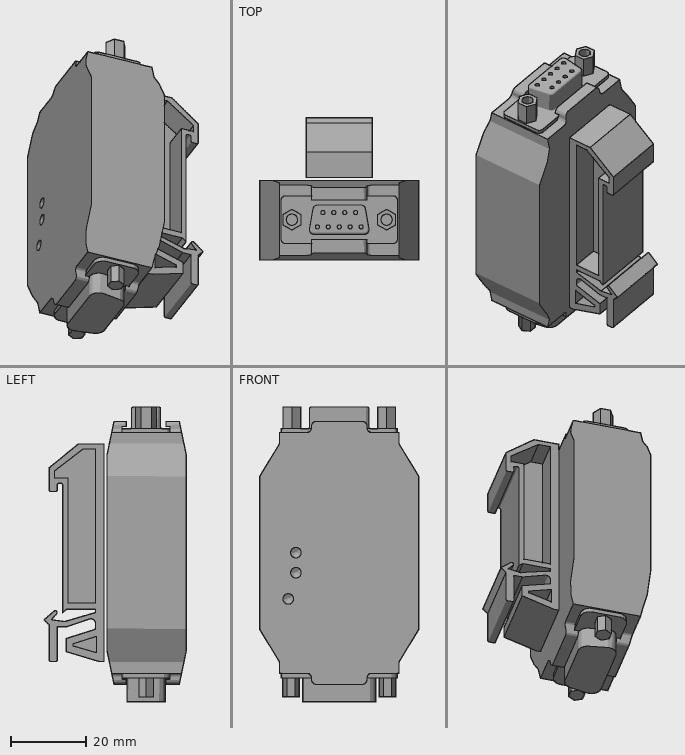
import cadquery as cq
import math


HALF_WIDTH = 21.21
HALF_DEPTH = 10.6
NECK_HALF_WIDTH = 15.9
SHOULDER_Z = 20.3
NECK_Z = 29.05
SEAT_Z = 32.05
TAB_Z = 35.0
TAPER_START_Z = 25.9
TAPER_ANGLE = 11.8
SIDE_BEND_RADIUS = 1.2
TAB_HALF_WIDTH = 7.4
TAB_ROOT_RADIUS = 1.2
TAB_CORNER_RADIUS = 1.4
TAB_UNDERCUT_Z = 33.6
TAB_OPENING = 10.54

INDICATOR_PLACES = [(-11.53, 0.05), (-11.53, -5.28), (-13.56, -12.25)]
INDICATOR_RADIUS = 1.4
INDICATOR_DEPTH = 5.0
DRILL_TIP_ANGLE = 118.0

PICK_MARGIN = 0.1

CONNECTOR_Y = 0.15
FLANGE_LENGTH = 30.95
FLANGE_WIDTH = 12.7
SHELL_SIDE_ANGLE = 10.0
SOCKET_END_Z = 38.8
SOCKET_FLANGE_Z = 33.07
SOCKET_FLANGE_RADIUS = 1.2
SOCKET_HALF_WIDTH = 8.18
SOCKET_DEPTH = 7.8
SOCKET_CORNER_RADIUS = 1.25
SOCKET_RIM_RADIUS = 0.5
SOCKET_ROOT_RADIUS = 0.25
PIN_HOLE_DIAMETER = 1.1
PIN_HOLE_DEPTH = 3.0
PIN_PITCH = 2.91
PIN_ROW_SPACING = 3.8
STANDOFF_X = 12.6
STANDOFF_FLATS = 4.77
STANDOFF_BORE = 3.0

PLUG_END_Z = 39.6
PLUG_FLANGE_Z = 33.3
PLUG_FLANGE_RADIUS = 2.6
PLUG_HALF_WIDTH = 10.25
PLUG_DEPTH = 10.2
PLUG_CORNER_RADIUS = 2.6
SCREW_X = 12.85
SCREW_END_Z = 38.3
SCREW_FLATS = 3.85

CLIP_HALF_WIDTH = 8.84
CLIP_WEB_HALF = 1.4
CLIP_BACK_Y = 11.31
CLIP_SPINE_Y = 13.63
CLIP_RAIL_Y = 22.37
CLIP_HOOK_INNER_Y = 23.75
CLIP_HOOK_OUTER_Y = 25.93
CLIP_LATCH_TIP_Y = 27.3
CLIP_TOP_Z = 29.0
CLIP_BOTTOM_Z = -28.95
CLIP_TIP_RADIUS = 0.5
CLIP_SMALL_RADIUS = 0.4
CLIP_ARM_ROOT_RADIUS = 1.2


def hexagon_across_corners(flats):
    return flats / math.cos(math.radians(30))


def box_around(place, half_size):
    """Selector for edges whose middle lies in a box around a place."""
    low = tuple(p - h for p, h in zip(place, half_size))
    high = tuple(p + h for p, h in zip(place, half_size))
    return cq.selectors.BoxSelector(low, high)


def round_edges_at(solid, places, radius):
    """Round the edges whose middles lie at the given places, one after another."""
    for place in places:
        solid = solid.edges(box_around(place, (PICK_MARGIN, PICK_MARGIN, PICK_MARGIN))).fillet(radius)
    return solid


def housing_outline():
    """Front outline of the housing, extruded through its depth."""
    root_x = TAB_HALF_WIDTH + TAB_ROOT_RADIUS
    corner_x = TAB_HALF_WIDTH - TAB_CORNER_RADIUS
    root_mid = TAB_ROOT_RADIUS * (1 - math.sqrt(0.5))
    corner_mid = TAB_CORNER_RADIUS * (1 - math.sqrt(0.5))
    upper_right = (
        cq.Workplane("XZ")
        .moveTo(0, 0)
        .lineTo(HALF_WIDTH, 0)
        .lineTo(HALF_WIDTH, SHOULDER_Z)
        .lineTo(NECK_HALF_WIDTH, NECK_Z)
        .lineTo(NECK_HALF_WIDTH, SEAT_Z)
        .lineTo(root_x, SEAT_Z)
        .threePointArc(
            (TAB_HALF_WIDTH + root_mid, SEAT_Z + root_mid),
            (TAB_HALF_WIDTH, SEAT_Z + TAB_ROOT_RADIUS),
        )
        .lineTo(TAB_HALF_WIDTH, TAB_Z - TAB_CORNER_RADIUS)
        .threePointArc(
            (TAB_HALF_WIDTH - corner_mid, TAB_Z - corner_mid),
            (corner_x, TAB_Z),
        )
        .lineTo(0, TAB_Z)
        .close()
        .extrude(HALF_DEPTH, both=True)
    )
    upper = upper_right.union(upper_right.mirror("YZ"))
    return upper.union(upper.mirror("XY")).clean()


def housing_taper():
    """Side outline that leans the front and back faces in at both ends."""
    end_half_depth = HALF_DEPTH - (TAB_Z - TAPER_START_Z) * math.tan(math.radians(TAPER_ANGLE))
    corners = [
        (HALF_DEPTH, -TAPER_START_Z),
        (HALF_DEPTH, TAPER_START_Z),
        (end_half_depth, TAB_Z),
        (-end_half_depth, TAB_Z),
        (-HALF_DEPTH, TAPER_START_Z),
        (-HALF_DEPTH, -TAPER_START_Z),
        (-end_half_depth, -TAB_Z),
        (end_half_depth, -TAB_Z),
    ]
    return cq.Workplane("YZ").polyline(corners).close().extrude(HALF_WIDTH, both=True)


def flange_slot():
    """T-shaped passage between the top tabs: a flange seat with a narrower opening above."""
    length = 2 * (TAB_HALF_WIDTH + TAB_ROOT_RADIUS)
    seat = (
        cq.Workplane("XY", origin=(0, CONNECTOR_Y, SEAT_Z))
        .rect(length, FLANGE_WIDTH)
        .extrude(TAB_UNDERCUT_Z - SEAT_Z)
    )
    opening = (
        cq.Workplane("XY", origin=(0, CONNECTOR_Y, SEAT_Z))
        .rect(length, TAB_OPENING)
        .extrude(TAB_Z - SEAT_Z)
    )
    return seat.union(opening)


def indicator_hole(x, z):
    """Drilled blind hole with a conical bottom, entering from the front face."""
    tip = INDICATOR_RADIUS / math.tan(math.radians(DRILL_TIP_ANGLE / 2))
    profile = [
        (0, 0),
        (INDICATOR_RADIUS, 0),
        (INDICATOR_RADIUS, INDICATOR_DEPTH),
        (0, INDICATOR_DEPTH + tip),
    ]
    return (
        cq.Workplane("XY")
        .polyline(profile)
        .close()
        .revolve(360, (0, 0), (0, 1))
        .translate((x, -HALF_DEPTH, z))
    )


def make_housing():
    body = housing_outline()
    bends = []
    for x, z in ((HALF_WIDTH, SHOULDER_Z), (NECK_HALF_WIDTH, NECK_Z)):
        bends += [(x, 0, z), (-x, 0, z), (x, 0, -z), (-x, 0, -z)]
    body = round_edges_at(body, bends, SIDE_BEND_RADIUS)
    body = body.intersect(housing_taper())
    slot = flange_slot()
    body = body.cut(slot).cut(slot.mirror("XY"))
    for x, z in INDICATOR_PLACES:
        body = body.cut(indicator_hole(x, z))
    return body


def make_flange(top_z, corner_radius):
    return (
        cq.Workplane("XY", origin=(0, CONNECTOR_Y, SEAT_Z))
        .rect(FLANGE_LENGTH, FLANGE_WIDTH)
        .extrude(top_z - SEAT_Z)
        .edges("|Z")
        .fillet(corner_radius)
    )


def d_shell(half_width, depth, corner_radius, base_z, end_z):
    """D-shaped shell, wide edge towards the front, with rounded upright corners."""
    narrow_half_width = half_width - depth * math.tan(math.radians(SHELL_SIDE_ANGLE))
    corners = [
        (-half_width, -depth / 2),
        (half_width, -depth / 2),
        (narrow_half_width, depth / 2),
        (-narrow_half_width, depth / 2),
    ]
    return (
        cq.Workplane("XY", origin=(0, CONNECTOR_Y, base_z))
        .polyline(corners)
        .close()
        .extrude(end_z - base_z)
        .edges("|Z")
        .fillet(corner_radius)
    )


def make_socket():
    """Connector on the +Z end: flange, D shell with nine pin holes and two bored standoffs."""
    shell = d_shell(SOCKET_HALF_WIDTH, SOCKET_DEPTH, SOCKET_CORNER_RADIUS, SOCKET_FLANGE_Z, SOCKET_END_Z)
    shell = shell.faces(">Z").edges().fillet(SOCKET_RIM_RADIUS)
    socket = make_flange(SOCKET_FLANGE_Z, SOCKET_FLANGE_RADIUS).union(shell)
    root_zone = (SOCKET_HALF_WIDTH + PICK_MARGIN, SOCKET_DEPTH / 2 + PICK_MARGIN, PICK_MARGIN)
    shell_root = box_around((0, CONNECTOR_Y, SOCKET_FLANGE_Z), root_zone)
    socket = socket.edges(shell_root).fillet(SOCKET_ROOT_RADIUS)

    pin_places = []
    for count, row_y in ((5, -PIN_ROW_SPACING / 2), (4, PIN_ROW_SPACING / 2)):
        for i in range(count):
            pin_places.append(((i - (count - 1) / 2) * PIN_PITCH, row_y))
    pin_holes = (
        cq.Workplane("XY", origin=(0, CONNECTOR_Y, SOCKET_END_Z))
        .pushPoints(pin_places)
        .circle(PIN_HOLE_DIAMETER / 2)
        .extrude(-PIN_HOLE_DEPTH)
    )

    standoff_height = SOCKET_END_Z - SOCKET_FLANGE_Z
    for side in (-1, 1):
        standoff = (
            cq.Workplane("XY")
            .polygon(6, hexagon_across_corners(STANDOFF_FLATS))
            .extrude(standoff_height)
            .rotate((0, 0, 0), (0, 0, 1), 30)
            .faces(">Z")
            .workplane()
            .hole(STANDOFF_BORE, standoff_height)
            .translate((side * STANDOFF_X, CONNECTOR_Y, SOCKET_FLANGE_Z))
        )
        socket = socket.union(standoff)
    return socket.cut(pin_holes)


def make_plug():
    """Connector on the -Z end: flange, larger D shell and two hexagonal screw heads."""
    plug = make_flange(PLUG_FLANGE_Z, PLUG_FLANGE_RADIUS)
    plug = plug.union(d_shell(PLUG_HALF_WIDTH, PLUG_DEPTH, PLUG_CORNER_RADIUS, PLUG_FLANGE_Z, PLUG_END_Z))
    screws = (
        cq.Workplane("XY", origin=(0, CONNECTOR_Y, PLUG_FLANGE_Z))
        .pushPoints([(-SCREW_X, 0), (SCREW_X, 0)])
        .polygon(6, hexagon_across_corners(SCREW_FLATS))
        .extrude(SCREW_END_Z - PLUG_FLANGE_Z)
    )
    return plug.union(screws).mirror("XY")


def make_rail_clip():
    hook_end_z = 16.26
    block_end_z = -15.0
    arm_under_z = -19.7
    rib_face_y = 21.43
    pocket_top_z = 27.6
    pocket_step_z = 19.88
    pocket_end_z = -13.35
    pocket_hook_y = 24.5
    pocket_rail_y = 20.96
    rib_pocket_base_y = 13.35
    rib_pocket_tip_y = 19.6
    groove_z = 18.47
    arm_root = (CLIP_SPINE_Y, -17.1)
    rib_root = (CLIP_SPINE_Y, -20.3)
    latch_tip_outer = (24.28, -15.15)
    latch_tip_inner = (23.65, -15.9)
    outline = [
        (CLIP_BACK_Y, CLIP_TOP_Z),
        (18.16, CLIP_TOP_Z),
        (CLIP_HOOK_OUTER_Y, 22.65),
        (CLIP_HOOK_OUTER_Y, hook_end_z),
        (CLIP_HOOK_INNER_Y, hook_end_z),
        (CLIP_HOOK_INNER_Y, groove_z),
        (CLIP_RAIL_Y, groove_z),
        (CLIP_RAIL_Y, -15.95),
        (21.25, block_end_z),
        (CLIP_SPINE_Y, block_end_z),
        (CLIP_SPINE_Y, -15.85),
        (21.8, -18.25),
        (25.3, -17.76),
        latch_tip_inner,
        latch_tip_outer,
        (CLIP_LATCH_TIP_Y, -17.8),
        (CLIP_HOOK_OUTER_Y, -19.2),
        (CLIP_HOOK_OUTER_Y, CLIP_BOTTOM_Z),
        (CLIP_HOOK_INNER_Y, CLIP_BOTTOM_Z),
        (CLIP_HOOK_INNER_Y, arm_under_z),
        (21.34, arm_under_z),
        arm_root,
        rib_root,
        (rib_face_y, -22.76),
        (rib_face_y, -26.3),
        (12.6, CLIP_BOTTOM_Z),
        (CLIP_BACK_Y, CLIP_BOTTOM_Z),
    ]
    clip = cq.Workplane("YZ").polyline(outline).close().extrude(CLIP_HALF_WIDTH, both=True)
    tips = []
    for y in (CLIP_HOOK_OUTER_Y, CLIP_HOOK_INNER_Y):
        tips += [(0, y, hook_end_z), (0, y, CLIP_BOTTOM_Z)]
    clip = round_edges_at(clip, tips, CLIP_TIP_RADIUS)
    groove_corners = [(0, CLIP_HOOK_INNER_Y, groove_z), (0, CLIP_RAIL_Y, groove_z)]
    other_corners = [(0, *latch_tip_inner), (0, *latch_tip_outer), (0, *rib_root)]
    clip = round_edges_at(clip, groove_corners + other_corners, CLIP_SMALL_RADIUS)
    clip = round_edges_at(clip, [(0, *arm_root)], CLIP_ARM_ROOT_RADIUS)

    long_pocket = [
        (CLIP_SPINE_Y, pocket_top_z),
        (16.93, pocket_top_z),
        (pocket_hook_y, 21.8),
        (pocket_hook_y, pocket_step_z),
        (pocket_rail_y, pocket_step_z),
        (pocket_rail_y, pocket_end_z),
        (CLIP_SPINE_Y, pocket_end_z),
    ]
    rib_pocket = [
        (rib_pocket_base_y, -22.2),
        (rib_pocket_tip_y, -24.2),
        (rib_pocket_tip_y, -24.75),
        (rib_pocket_base_y, -26.55),
    ]
    for pocket in (long_pocket, rib_pocket):
        for start_x in (-CLIP_HALF_WIDTH, CLIP_WEB_HALF):
            cutter = (
                cq.Workplane("YZ", origin=(start_x, 0, 0))
                .polyline(pocket)
                .close()
                .extrude(CLIP_HALF_WIDTH - CLIP_WEB_HALF)
            )
            clip = clip.cut(cutter)
    return clip


housing = make_housing()
socket = make_socket()
plug = make_plug()
rail_clip = make_rail_clip()

result = cq.Compound.makeCompound([housing.val(), socket.val(), plug.val(), rail_clip.val()])